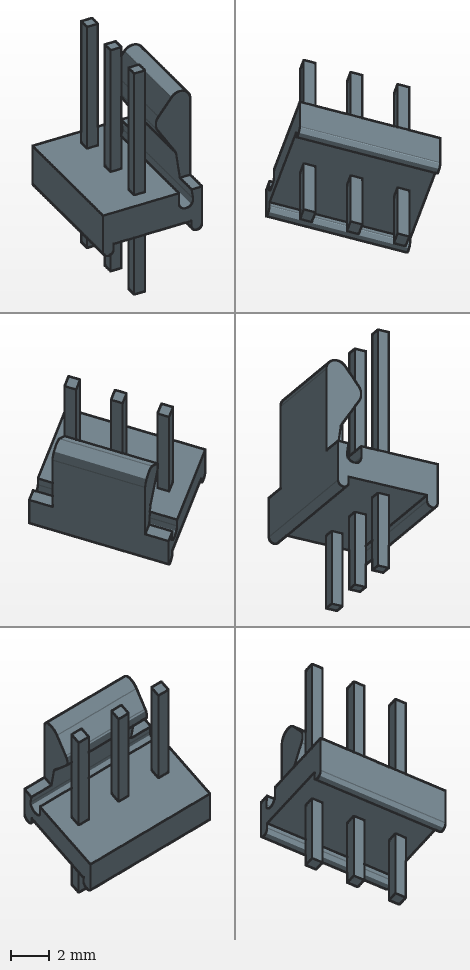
import cadquery as cq
import math

width = 7.62
depth = 5.85
pin_length = 13.59
pin_size = 0.64
pin_count = 3
pitch = width / pin_count
pin_y = -3.17

foot_bottom = 3.55
body_top = 6.12
foot_height = 0.64
foot_width = 0.63
foot_radius = foot_width / 2
underside = foot_bottom + foot_height

slot_radius = 0.415
slot_y = -0.95
slot_z = 5.49

latch_width = 5.07
crown_radius = 0.63
crown_y = -crown_radius
crown_z = 10.82
nose_radius = 0.7
nose_y = -1.33
nose_z = 9.81
waist_y = -0.84
waist_z = 7.72


def on_circle(y, z, radius, angle):
    """Point on a circle in the YZ plane, with the angle measured from +Y to +Z."""
    return y + radius * math.cos(angle), z + radius * math.sin(angle)


def tangent_angle(y, z, radius, side):
    """Angle where a line from the waist touches a circle; side picks the tangent."""
    distance = math.hypot(waist_y - y, waist_z - z)
    toward_waist = math.atan2(waist_z - z, waist_y - y)
    return toward_waist + side * math.acos(radius / distance)


def extrude_centered(profile, length):
    return profile.close().extrude(length / 2, both=True)


slot_angle = tangent_angle(slot_y, slot_z, slot_radius, -1)
slot_start = on_circle(slot_y, slot_z, slot_radius, slot_angle)
taper = (waist_y - slot_start[0]) / (waist_z - slot_start[1])
root_y = waist_y - taper * (waist_z - body_top)


def make_body():
    profile = (
        cq.Workplane("YZ")
        .moveTo(0, body_top)
        .lineTo(root_y, body_top)
        .lineTo(*slot_start)
        .threePointArc((slot_y, slot_z - slot_radius), (slot_y - slot_radius, slot_z))
        .lineTo(slot_y - slot_radius, body_top)
        .lineTo(-depth, body_top)
        .lineTo(-depth, foot_bottom + foot_radius)
        .threePointArc(
            (-depth + foot_radius, foot_bottom),
            (-depth + foot_width, foot_bottom + foot_radius),
        )
        .lineTo(-depth + foot_width, underside)
        .lineTo(-foot_width, underside)
        .lineTo(-foot_width, foot_bottom + foot_radius)
        .threePointArc((-foot_radius, foot_bottom), (0, foot_bottom + foot_radius))
    )
    return extrude_centered(profile, width)


def make_latch():
    head_y = nose_y - crown_y
    head_z = nose_z - crown_z
    head_length = math.hypot(head_y, head_z)
    normal_offset = math.acos((crown_radius - nose_radius) / head_length)
    lead_in_angle = math.atan2(head_z, head_y) - normal_offset + 2 * math.pi
    nose_end_angle = tangent_angle(nose_y, nose_z, nose_radius, -1) + 2 * math.pi
    nose_mid_angle = (lead_in_angle + nose_end_angle) / 2
    profile = (
        cq.Workplane("YZ")
        .moveTo(0, body_top)
        .lineTo(0, crown_z)
        .threePointArc(
            on_circle(crown_y, crown_z, crown_radius, lead_in_angle / 2),
            on_circle(crown_y, crown_z, crown_radius, lead_in_angle),
        )
        .lineTo(*on_circle(nose_y, nose_z, nose_radius, lead_in_angle))
        .threePointArc(
            on_circle(nose_y, nose_z, nose_radius, nose_mid_angle),
            on_circle(nose_y, nose_z, nose_radius, nose_end_angle),
        )
        .lineTo(waist_y, waist_z)
        .lineTo(root_y, body_top)
    )
    return extrude_centered(profile, latch_width)


def make_pins():
    return (
        cq.Workplane("XY")
        .center(0, pin_y)
        .rarray(pitch, 0.14, pin_count, 1)
        .rect(pin_size, pin_size)
        .extrude(pin_length)
    )


result = make_body().union(make_latch()).union(make_pins())